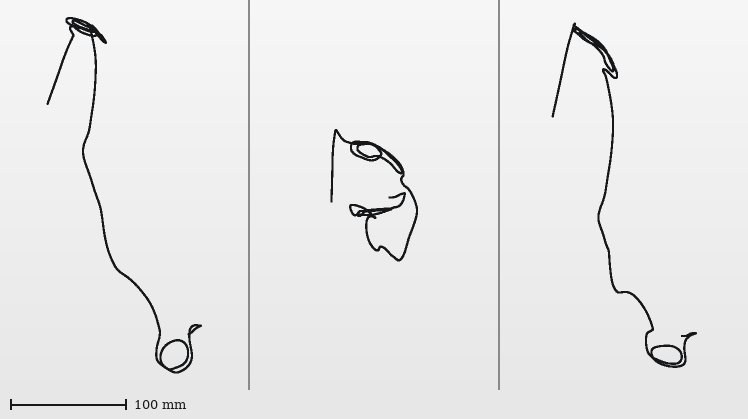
import cadquery as cq
WIRE_DIAMETER = 1.0
WIRE_RADIUS = WIRE_DIAMETER / 2

TIP_LEG = [
    (-26.6, -55.6, 77.8),
    (-15.5, -49.2, 115.0),
    (-8.8, -45.1, 138.0),
    (-4.2, -40.9, 154.4),
]
TIP_BEND = [
    (-4.0, -40.2, 155.9),
    (-5.4, -39.9, 156.2),
]
BRIDGE_TO_UPPER_COIL = [
    (-11.0, -39.6, 156.2),
    (-17.0, -38.3, 156.3),
    (-19.5, -36.0, 155.8),
]
UPPER_LOBE = [
    (-21.8, -31.0, 152.9),
    (-22.1, -26.0, 150.2),
    (-21.5, -20.0, 146.7),
    (-26.0, -12.2, 141.7),
    (-30.0, -8.2, 138.2),
    (-36.0, -4.0, 132.2),
    (-40.5, -0.6, 127.4),
    (-44.5, 1.0, 124.4),
    (-48.5, 1.2, 123.6),
    (-51.7, 0.0, 125.2),
    (-53.3, -2.2, 128.4),
    (-51.5, -4.8, 131.9),
    (-46.5, -6.7, 134.9),
    (-41.0, -9.7, 137.4),
]
UPPER_INNER_TURN = [
    (-37.7, -13.2, 140.3),
    (-36.0, -17.5, 143.6),
    (-37.2, -23.5, 147.9),
    (-34.0, -28.8, 151.9),
    (-28.5, -31.3, 153.2),
    (-24.5, -28.5, 151.9),
    (-23.6, -23.5, 148.9),
    (-23.7, -18.5, 146.1),
    (-26.0, -13.3, 141.9),
]
UPPER_OUTER_TURN = [
    (-30.5, -11.5, 140.3),
    (-35.0, -11.6, 141.6),
    (-38.5, -15.0, 144.2),
    (-40.8, -20.0, 146.7),
    (-40.6, -25.7, 149.6),
    (-37.0, -31.5, 153.4),
    (-32.5, -35.9, 155.1),
    (-27.5, -36.8, 155.2),
    (-22.0, -34.0, 154.4),
    (-18.9, -29.5, 150.4),
    (-18.9, -24.0, 146.2),
    (-20.8, -16.5, 141.4),
]
CREST = [
    (-24.5, -12.0, 138.6),
    (-28.2, -8.3, 136.2),
    (-33.5, -3.0, 131.5),
    (-37.3, 1.0, 124.5),
    (-39.7, 3.2, 120.3),
    (-43.5, 4.0, 117.7),
    (-47.8, 3.2, 117.5),
    (-54.0, -0.4, 122.5),
    (-59.5, -4.5, 127.1),
    (-63.7, -4.6, 126.8),
    (-67.5, -1.7, 123.0),
]
LONG_RUN = [
    (-69.0, 0.2, 117.0),
    (-70.2, 4.0, 98.0),
    (-70.2, 5.4, 84.0),
    (-69.2, 4.9, 70.0),
    (-66.8, 2.2, 47.0),
    (-65.6, -0.7, 30.0),
    (-65.8, -3.7, 14.0),
    (-66.3, -7.0, 4.5),
    (-64.5, -8.5, -1.5),
    (-58.0, -8.2, -11.0),
    (-50.0, -6.6, -21.0),
    (-42.0, -5.8, -30.0),
    (-30.0, -5.7, -38.0),
    (-23.0, -6.4, -45.5),
    (-19.0, -6.2, -57.0),
    (-10.0, -5.7, -71.0),
    (-2.0, -5.0, -77.0),
    (7.0, -3.5, -81.2),
    (17.0, -0.3, -82.2),
    (25.0, 4.0, -85.0),
    (31.0, 8.8, -91.0),
    (35.0, 14.8, -101.0),
    (36.5, 17.8, -108.0),
    (40.0, 19.3, -114.0),
    (46.5, 19.3, -119.5),
]
LOWER_SHOULDER = [
    (53.0, 18.1, -121.2),
    (61.0, 14.6, -124.2),
    (67.5, 9.9, -128.8),
    (67.9, 9.4, -132.5),
    (66.0, 10.2, -139.5),
    (65.4, 12.0, -144.5),
]
LOWER_INNER_TURN = [
    (67.0, 15.8, -148.6),
    (70.0, 19.9, -151.2),
    (67.6, 26.5, -152.8),
    (65.2, 33.5, -153.0),
    (61.5, 39.7, -151.0),
    (57.3, 42.7, -145.5),
    (53.7, 41.5, -139.2),
    (52.2, 36.5, -135.5),
    (53.0, 28.0, -135.2),
    (57.0, 20.0, -137.3),
    (61.5, 15.8, -140.5),
]
LOWER_OUTER_TURN = [
    (64.2, 14.9, -144.5),
    (65.0, 16.5, -149.0),
    (67.7, 21.0, -153.2),
    (70.2, 26.0, -155.6),
    (68.7, 32.5, -156.2),
    (64.8, 40.2, -154.7),
    (60.2, 45.0, -150.5),
    (56.0, 45.7, -142.5),
    (51.0, 46.2, -134.2),
]
HOOK = [
    (48.4, 48.6, -127.5),
    (50.0, 51.9, -124.7),
    (53.7, 54.9, -123.8),
]
TAIL_BEND = [
    (54.6, 55.6, -123.5),
    (55.1, 54.6, -123.5),
]
TAIL = [
    (55.8, 51.0, -124.2),
    (56.5, 47.5, -126.2),
    (58.8, 42.6, -127.2),
]

STRETCHES = [
    TIP_LEG,
    TIP_BEND,
    BRIDGE_TO_UPPER_COIL,
    UPPER_LOBE,
    UPPER_INNER_TURN,
    UPPER_OUTER_TURN,
    CREST,
    LONG_RUN,
    LOWER_SHOULDER,
    LOWER_INNER_TURN,
    LOWER_OUTER_TURN,
    HOOK,
    TAIL_BEND,
    TAIL,
]


def direction(start, end):
    return (end - start).normalized()


def smooth_curve(points, start_direction, end_direction):
    """A spline through the points, paced by the straight distance from point to point."""
    distances = [0.0]
    for previous, point in zip(points, points[1:]):
        distances.append(distances[-1] + (point - previous).Length)
    return cq.Edge.makeSpline(
        points,
        tangents=[start_direction, end_direction],
        parameters=distances,
        scale=False,
    )


def centreline_curves(stretches):
    """One smooth curve for each stretch, each running on in the direction the last one ended."""
    curves = []
    points = []
    start_direction = None
    for number, stretch in enumerate(stretches):
        points = points[-1:] + [cq.Vector(*station) for station in stretch]
        if start_direction is None:
            start_direction = direction(points[0], points[1])
        if number + 1 < len(stretches):
            point_after_joint = cq.Vector(*stretches[number + 1][0])
            end_direction = direction(points[-2], point_after_joint)
        else:
            end_direction = direction(points[-2], points[-1])
        curves.append(smooth_curve(points, start_direction, end_direction))
        start_direction = end_direction
    return curves


def round_wire(curves):
    """Sweep the round section along the joined curves."""
    section_plane = cq.Plane(origin=curves[0].startPoint(), normal=curves[0].tangentAt(0))
    section = cq.Workplane(section_plane).circle(WIRE_RADIUS)
    return section.sweep(cq.Workplane(cq.Wire.assembleEdges(curves)))


result = round_wire(centreline_curves(STRETCHES))